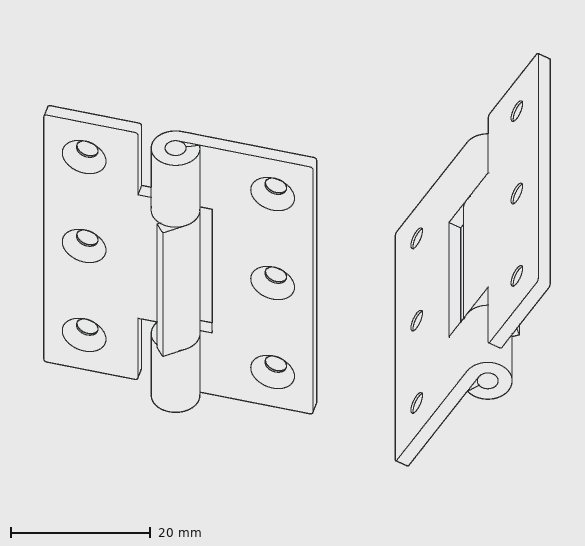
import cadquery as cq
import math

width = 40.0
height = 50.0
thickness = 2.0

pin_radius = 1.5
knuckle_radius = pin_radius + thickness
axis_y = -knuckle_radius
middle_height = 25.0

left_inner_edge = -6.0
right_notch_edge = 5.0
corner_radius = 0.5

middle_wrap = 140.0
tail_length = 3.6

end_wrap = 295.0

hole_x = 14.0
hole_pitch = 18.0
hole_diameter = 3.2
sink_diameter = 6.5
sink_angle = 90.0

end_height = (height - middle_height) / 2


def wrap_point(radius, turn, side):
    """Point on a roll, `turn` degrees from its start at the back; side is the X direction it rolls to."""
    angle = math.radians(turn)
    return side * radius * math.sin(angle), axis_y + radius * math.cos(angle)


def plate(x_min, x_max, z_min, z_max):
    """Flat part of a leaf with its back face at y = 0."""
    return cq.Workplane("XY").box(
        x_max - x_min, thickness, z_max - z_min, centered=False
    ).translate((x_min, -thickness, z_min))


def rolled_strip(plate_x, wrap, side, tail, z_min, z_max):
    """Strip from plate_x to the pin, rolled around it and ending in a straight tail of the given length."""
    outer_end = wrap_point(knuckle_radius, wrap, side)
    inner_end = wrap_point(pin_radius, wrap, side)
    turn = math.radians(wrap)
    tail_x = side * tail * math.cos(turn)
    tail_y = -tail * math.sin(turn)
    outline = (
        cq.Workplane("XY", origin=(0, 0, z_min))
        .moveTo(plate_x, 0)
        .lineTo(0, 0)
        .threePointArc(wrap_point(knuckle_radius, wrap / 2, side), outer_end)
    )
    if tail > 0:
        outline = outline.lineTo(outer_end[0] + tail_x, outer_end[1] + tail_y)
    outline = outline.lineTo(inner_end[0] + tail_x, inner_end[1] + tail_y)
    if tail > 0:
        outline = outline.lineTo(*inner_end)
    return (
        outline.threePointArc(wrap_point(pin_radius, wrap / 2, side), (0, -thickness))
        .lineTo(plate_x, -thickness)
        .close()
        .extrude(z_max - z_min)
    )


def drill_screw_holes(leaf, x):
    """Three through holes countersunk from the front face."""
    return (
        leaf.copyWorkplane(cq.Workplane("XZ", origin=(0, -thickness, 0)))
        .pushPoints([(x, row * hole_pitch) for row in (-1, 0, 1)])
        .cskHole(hole_diameter, sink_diameter, sink_angle)
    )


def make_left_leaf():
    """Leaf with the middle knuckle and its tail."""
    leaf = plate(-width / 2, left_inner_edge, -height / 2, height / 2)
    leaf = leaf.edges("|Y").fillet(corner_radius)
    leaf = leaf.union(
        rolled_strip(left_inner_edge, middle_wrap, 1, tail_length, -middle_height / 2, middle_height / 2)
    )
    return drill_screw_holes(leaf, -hole_x)


def make_right_leaf():
    """Leaf with a knuckle at each end."""
    leaf = plate(right_notch_edge, width / 2, -height / 2, height / 2)
    leaf = leaf.edges("|Y and >X").fillet(corner_radius)
    for z_min in (-height / 2, height / 2 - end_height):
        leaf = leaf.union(rolled_strip(right_notch_edge, end_wrap, -1, 0, z_min, z_min + end_height))
    return drill_screw_holes(leaf, hole_x)


def make_pin():
    """Plain pin through all three knuckles."""
    return cq.Workplane("XY", origin=(0, axis_y, -height / 2)).circle(pin_radius).extrude(height)


left_leaf = make_left_leaf()
right_leaf = make_right_leaf()
pin = make_pin()

result = cq.Compound.makeCompound([left_leaf.val(), right_leaf.val(), pin.val()])